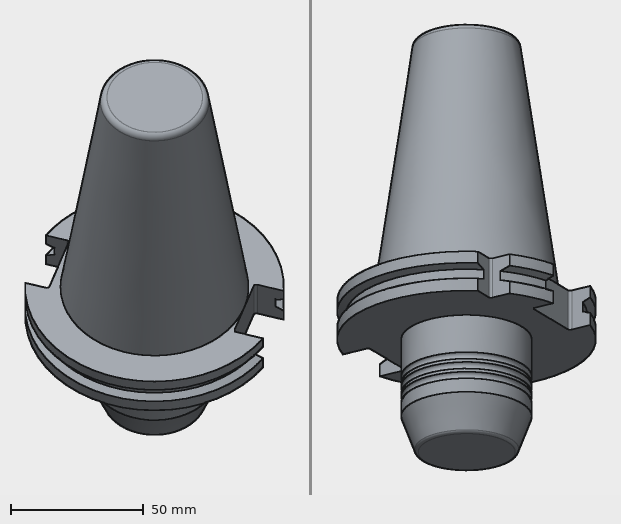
import cadquery as cq

total_height = 166.2
flange_top = 61.5
flange_thickness = 16.0
flange_bottom = flange_top - flange_thickness
shoulder_height = 14.3

taper_base_radius = 35.4
taper_slope = 7 / 48
top_edge_rounding = 2.5

flange_radius = 48.7
grip_floor_radius = 45.5
grip_center = 53.7
grip_floor_width = 3.7
grip_mouth_width = 6.3

nose_radius = 24.6
ring_depth = 0.7
ring_width = 2.7
ring_pitch = 4.0
ring_count = 3
top_ring_center = 29.1
nose_tip_radius = 19.3
nose_tip_rounding = 1.5

slot_width = 25.6
left_slot_floor = 37.7
right_slot_floor = 35.4
notch_x = 29.8
notch_y = 30.0
corner_radius = 1.0


def turned_body():
    """Revolve the (radius, height) outline about Z."""
    taper_top_radius = taper_base_radius - taper_slope * (total_height - flange_top)
    outline = [
        (0, 0),
        (nose_tip_radius, 0),
        (nose_radius, shoulder_height),
        (nose_radius, flange_bottom),
        (flange_radius, flange_bottom),
        (flange_radius, flange_top),
        (taper_base_radius, flange_top),
        (taper_top_radius, total_height),
        (0, total_height),
    ]
    body = cq.Workplane("XZ").polyline(outline).close().revolve(360, (0, 0), (0, 1))
    body = body.faces(">Z").edges().fillet(top_edge_rounding)
    return body.faces("<Z").edges().fillet(nose_tip_rounding)


def grip_cutter():
    """Ring with sloped sides and a flat floor, for the gripper groove."""
    outline = [
        (flange_radius, grip_center - grip_mouth_width / 2),
        (grip_floor_radius, grip_center - grip_floor_width / 2),
        (grip_floor_radius, grip_center + grip_floor_width / 2),
        (flange_radius, grip_center + grip_mouth_width / 2),
    ]
    return cq.Workplane("XZ").polyline(outline).close().revolve(360, (0, 0), (0, 1))


def nose_ring_cutter(center):
    """Ring with a circular-arc floor, for one groove around the nose."""
    lower = (nose_radius, center - ring_width / 2)
    deepest = (nose_radius - ring_depth, center)
    upper = (nose_radius, center + ring_width / 2)
    profile = cq.Workplane("XZ").moveTo(*lower).threePointArc(deepest, upper).close()
    return profile.revolve(360, (0, 0), (0, 1))


def flange_cutter(x_inner, x_outer, y_low, y_high, rounded_edges):
    """Block as tall as the flange, with its inner vertical corners rounded."""
    block = cq.Workplane("XY").box(
        abs(x_outer - x_inner), y_high - y_low, flange_thickness
    )
    block = block.edges(rounded_edges).fillet(corner_radius)
    center_z = (flange_top + flange_bottom) / 2
    return block.translate(((x_inner + x_outer) / 2, (y_low + y_high) / 2, center_z))


result = turned_body().cut(grip_cutter())
for index in range(ring_count):
    result = result.cut(nose_ring_cutter(top_ring_center - index * ring_pitch))

half_slot = slot_width / 2
result = result.cut(flange_cutter(-left_slot_floor, -flange_radius, -half_slot, half_slot, "|Z and >X"))
result = result.cut(flange_cutter(right_slot_floor, flange_radius, -half_slot, half_slot, "|Z and <X"))
result = result.cut(
    flange_cutter(-notch_x, -flange_radius, notch_y, flange_radius, "(|Z and >X) and <Y")
)